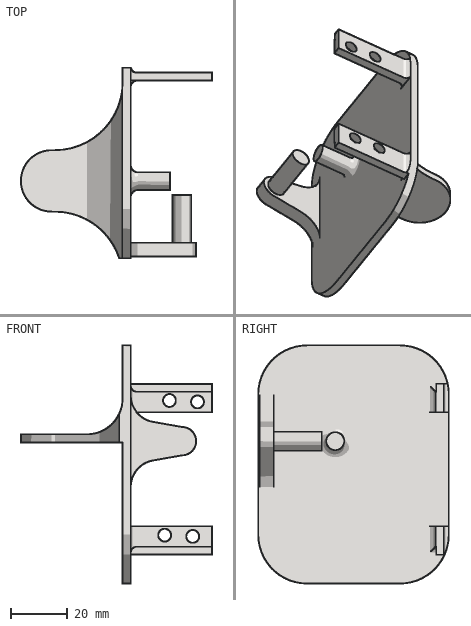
import cadquery as cq
import math

PLATE_THICKNESS = 3.0
PLATE_WIDTH = 68.0
PLATE_HEIGHT = 85.0
PLATE_CORNER_RADIUS = 17.5
PLATE_FRONT_X = -PLATE_THICKNESS
PLATE_SIDE_Y = -PLATE_WIDTH / 2

SHELF_CENTER_Y = -6.4
SHELF_BOTTOM_Z = 7.8
SHELF_THICKNESS = 3.0
SHELF_REACH = 36.24
SHELF_TIP_RADIUS = 11.0
SHELF_FLARE_RADIUS = 24.0
SHELF_BLEND_RADIUS = 12.6

EAR_TIP_RADIUS = 5.1
EAR_TIP_X = 18.2
EAR_CENTER_Z = 8.3
EAR_TAPER = math.radians(10)
EAR_FLARE_RADIUS = 9.5
EAR_THICKNESS = 5.0
EAR_OUTER_Y = -33.4
EAR_PIN_DIAMETER = 6.8
EAR_PIN_LENGTH = 17.0

POST_CENTER_Y = -6.5
POST_CENTER_Z = EAR_CENTER_Z
POST_DIAMETER = 6.4
POST_LENGTH = 14.0
POST_FILLET_RADIUS = 2.5

BRACKET_LENGTH = 29.0
BRACKET_OUTER_Y = 32.25
WEB_THICKNESS = 3.0
LIP_THICKNESS = 2.8
LIP_HEIGHT = 2.75
WEB_HEIGHT = 7.35
BRACKET_FILLET_RADIUS = 2.0
BRACKET_HOLE_DIAMETER = 4.5
UPPER_WEB_INNER_Z = 18.6
LOWER_WEB_INNER_Z = -22.0
UPPER_HOLES = [(13.75, 22.8), (23.75, 22.3)]
LOWER_HOLES = [(12.05, -25.2), (22.05, -25.65)]


def make_plate():
    plate = cq.Workplane("XY").box(PLATE_THICKNESS, PLATE_WIDTH, PLATE_HEIGHT)
    plate = plate.edges("|X").fillet(PLATE_CORNER_RADIUS)
    return plate.translate((PLATE_FRONT_X / 2, 0, 0))


def make_shelf():
    """Rounded tongue flaring into the plate, blended into it above, cut off at the plate's -Y side."""
    tip_x = PLATE_FRONT_X - SHELF_REACH
    tip_center_x = tip_x + SHELF_TIP_RADIUS
    flare_start_x = PLATE_FRONT_X - SHELF_FLARE_RADIUS
    root_half_width = SHELF_TIP_RADIUS + SHELF_FLARE_RADIUS
    flare_mid_x = flare_start_x + SHELF_FLARE_RADIUS * math.sin(math.pi / 4)
    flare_mid_half_width = root_half_width - SHELF_FLARE_RADIUS * math.cos(math.pi / 4)
    top_z = SHELF_BOTTOM_Z + SHELF_THICKNESS
    blend_top_z = top_z + SHELF_BLEND_RADIUS

    outline = (
        cq.Workplane("XY", origin=(0, SHELF_CENTER_Y, SHELF_BOTTOM_Z))
        .moveTo(PLATE_FRONT_X, root_half_width)
        .threePointArc((flare_mid_x, flare_mid_half_width), (flare_start_x, SHELF_TIP_RADIUS))
        .lineTo(tip_center_x, SHELF_TIP_RADIUS)
        .threePointArc((tip_x, 0), (tip_center_x, -SHELF_TIP_RADIUS))
        .lineTo(flare_start_x, -SHELF_TIP_RADIUS)
        .threePointArc((flare_mid_x, -flare_mid_half_width), (PLATE_FRONT_X, -root_half_width))
        .lineTo(0, -root_half_width)
        .lineTo(0, root_half_width)
        .close()
        .extrude(blend_top_z - SHELF_BOTTOM_Z)
    )

    blend_start_x = PLATE_FRONT_X - SHELF_BLEND_RADIUS
    blend_mid_x = blend_start_x + SHELF_BLEND_RADIUS * math.sin(math.pi / 4)
    blend_mid_z = blend_top_z - SHELF_BLEND_RADIUS * math.cos(math.pi / 4)
    side_profile = (
        cq.Workplane("XZ", origin=(0, PLATE_SIDE_Y, 0))
        .moveTo(0, SHELF_BOTTOM_Z)
        .lineTo(tip_x, SHELF_BOTTOM_Z)
        .lineTo(tip_x, top_z)
        .lineTo(blend_start_x, top_z)
        .threePointArc((blend_mid_x, blend_mid_z), (PLATE_FRONT_X, blend_top_z))
        .lineTo(0, blend_top_z)
        .close()
        .extrude(-PLATE_WIDTH)
    )
    return outline.intersect(side_profile)


def make_ear():
    """Tapered ear with a round tip and flared root, carrying a pin that points toward +Y."""
    flare_end_x = EAR_FLARE_RADIUS * (1 - math.sin(EAR_TAPER))
    flare_end_z = EAR_TIP_RADIUS + (EAR_TIP_X - flare_end_x) * math.tan(EAR_TAPER)
    root_z = flare_end_z + EAR_FLARE_RADIUS * math.cos(EAR_TAPER)
    flare_mid_angle = (math.pi / 2 - EAR_TAPER) / 2
    flare_mid_x = EAR_FLARE_RADIUS * (1 - math.cos(flare_mid_angle))
    flare_mid_z = root_z - EAR_FLARE_RADIUS * math.sin(flare_mid_angle)

    ear = (
        cq.Workplane("XZ", origin=(0, EAR_OUTER_Y, EAR_CENTER_Z))
        .moveTo(PLATE_FRONT_X, root_z)
        .lineTo(0, root_z)
        .threePointArc((flare_mid_x, flare_mid_z), (flare_end_x, flare_end_z))
        .lineTo(EAR_TIP_X, EAR_TIP_RADIUS)
        .threePointArc((EAR_TIP_X + EAR_TIP_RADIUS, 0), (EAR_TIP_X, -EAR_TIP_RADIUS))
        .lineTo(flare_end_x, -flare_end_z)
        .threePointArc((flare_mid_x, -flare_mid_z), (0, -root_z))
        .lineTo(PLATE_FRONT_X, -root_z)
        .close()
        .extrude(-EAR_THICKNESS)
    )
    pin = (
        cq.Workplane("XZ", origin=(EAR_TIP_X, EAR_OUTER_Y, EAR_CENTER_Z))
        .circle(EAR_PIN_DIAMETER / 2)
        .extrude(-(EAR_THICKNESS + EAR_PIN_LENGTH))
    )
    return ear.union(pin)


def add_post(body):
    post = (
        cq.Workplane("YZ", origin=(0, POST_CENTER_Y, POST_CENTER_Z))
        .circle(POST_DIAMETER / 2)
        .extrude(POST_LENGTH)
    )
    root_edge = cq.selectors.NearestToPointSelector((0, POST_CENTER_Y, POST_CENTER_Z))
    return body.union(post).edges("%CIRCLE").edges(root_edge).fillet(POST_FILLET_RADIUS)


def box_between(corner, opposite):
    """Box whose edges follow the axes, given two opposite corners."""
    sizes = [abs(end - start) for start, end in zip(corner, opposite)]
    center = tuple((start + end) / 2 for start, end in zip(corner, opposite))
    return cq.Workplane("XY").box(*sizes).translate(center)


def back_fillet(start_z, end_z):
    """Concave strip between the plate and the +Y face of a bracket, trimmed to the plate's outline."""
    offset = BRACKET_FILLET_RADIUS * (1 - math.sin(math.pi / 4))
    strip = (
        cq.Workplane("XY", origin=(0, BRACKET_OUTER_Y, min(start_z, end_z)))
        .lineTo(0, BRACKET_FILLET_RADIUS)
        .threePointArc((offset, offset), (BRACKET_FILLET_RADIUS, 0))
        .close()
        .extrude(abs(end_z - start_z))
    )
    footprint = make_plate().translate((PLATE_THICKNESS, 0, 0))
    return strip.intersect(footprint)


def add_bracket(body, web_inner_z, outward, holes):
    """Add one bracket; outward is +1 or -1, the Z direction from its web to its lip."""
    web_outer_z = web_inner_z + outward * WEB_HEIGHT
    lip_outer_z = web_outer_z + outward * LIP_HEIGHT
    web_face_y = BRACKET_OUTER_Y - WEB_THICKNESS
    lip_face_y = BRACKET_OUTER_Y - LIP_THICKNESS

    web = box_between((0, web_face_y, web_inner_z), (BRACKET_LENGTH, BRACKET_OUTER_Y, web_outer_z))
    body = body.union(web)
    web_middle_z = (web_inner_z + web_outer_z) / 2
    face_root = cq.selectors.NearestToPointSelector((0, web_face_y, web_middle_z))
    step_root = cq.selectors.NearestToPointSelector((0, BRACKET_OUTER_Y - WEB_THICKNESS / 2, web_outer_z))
    body = body.edges(face_root + step_root).fillet(BRACKET_FILLET_RADIUS)

    lip = box_between((0, lip_face_y, web_inner_z), (BRACKET_LENGTH, BRACKET_OUTER_Y, lip_outer_z))
    body = body.union(lip).union(back_fillet(web_inner_z, lip_outer_z))

    drills = (
        cq.Workplane("XZ", origin=(0, BRACKET_OUTER_Y, 0))
        .pushPoints(holes)
        .circle(BRACKET_HOLE_DIAMETER / 2)
        .extrude(WEB_THICKNESS)
    )
    return body.cut(drills)


body = make_plate().union(make_shelf())
body = add_post(body)
body = add_bracket(body, UPPER_WEB_INNER_Z, 1, UPPER_HOLES)
body = add_bracket(body, LOWER_WEB_INNER_Z, -1, LOWER_HOLES)
result = body.union(make_ear())